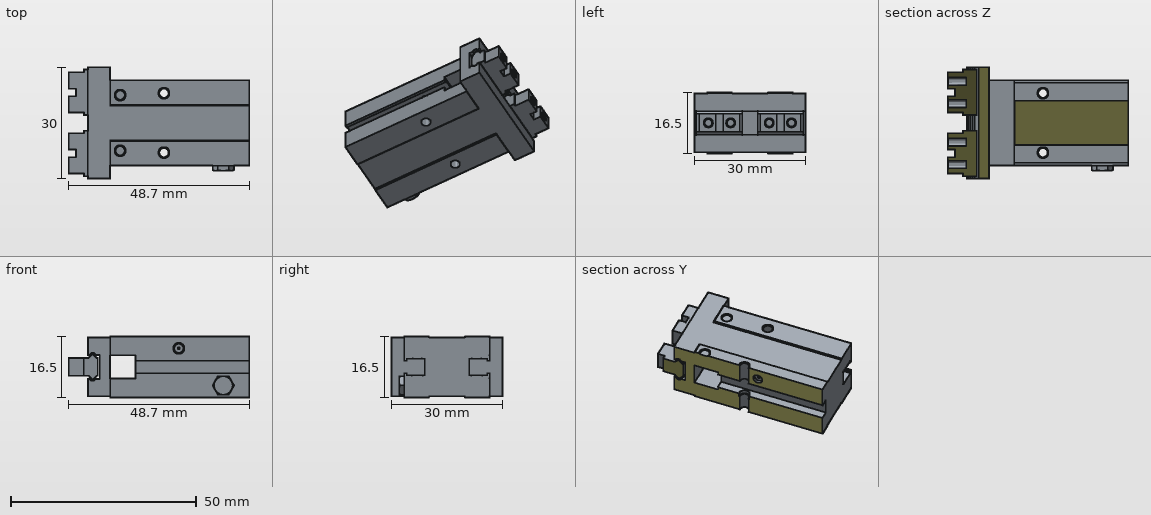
import cadquery as cq
import math


HOUSING_LENGTH = 37.5
HOUSING_WIDTH = 23.0
HOUSING_HEIGHT = 16.5

RELIEF_DEPTH = 0.3
RELIEF_MOUTH_WIDTH = 9.9
RELIEF_FLOOR_WIDTH = RELIEF_MOUTH_WIDTH - 2 * RELIEF_DEPTH

WINDOW_LENGTH = 6.8
WINDOW_HEIGHT = 6.2

SLOT_MOUTH_HEIGHT = 3.3
SLOT_LIP_THICKNESS = 0.7
SLOT_UNDERCUT = 0.6
SLOT_DEPTH = 5.5
SLOT_INNER_HEIGHT = SLOT_MOUTH_HEIGHT + 2 * SLOT_UNDERCUT

M3_BORE = 2.5
M3_COUNTERSINK = 3.0
MOUNT_HOLE_X = 14.5
MOUNT_HOLE_Y = 8.0

SLOT_COUNTERBORE = 3.0
SLOT_COUNTERBORE_DEPTH = 1.1

SPOT_X = 2.7
SPOT_Y = 7.5

PORT_X = 18.5
PORT_Z = 5.0
PORT_DEPTH = 4.0
ORIFICE_DIAMETER = 0.5
ORIFICE_DEPTH = 2.0

PLUG_X = 30.5
PLUG_Z = -5.0
PLUG_ACROSS_FLATS = 5.0
PLUG_ACROSS_CORNERS = PLUG_ACROSS_FLATS / math.cos(math.radians(30))
PLUG_HEIGHT = 1.4
PLUG_BEVEL_ANGLE = 30

PLATE_THICKNESS = 6.0
PLATE_WIDTH = 30.0
PLATE_HEIGHT = HOUSING_HEIGHT - 2 * RELIEF_DEPTH

CHANNEL_DEPTH = 3.2
CHANNEL_HEIGHT = 6.4
GROOVE_X = -4.7
GROOVE_DEPTH = 0.5
GROOVE_FLOOR_WIDTH = 0.6
GROOVE_MOUTH_WIDTH = GROOVE_FLOOR_WIDTH + 2 * GROOVE_DEPTH

JAW_TIP_X = -11.2
JAW_SHOULDER_X = -7.1
JAW_BACK_X = -3.3
JAW_HEIGHT = 4.9
RIDGE_HEIGHT = 1.1
SLIDE_INNER_Y = 2.1
SLIDE_OUTER_Y = 14.4
FINGER_CENTER_Y = 8.2
FINGER_WIDTH = 10.9
FINGER_NOTCH_WIDTH = 2.0
FINGER_NOTCH_DEPTH = 2.0
JAW_HOLE_PITCH = 6.0
JAW_HOLE_BORE = 2.0
JAW_HOLE_COUNTERSINK = 2.5
JAW_HOLE_DEPTH = 5.0


def box(x_range, y_range, z_range):
    """Axis-aligned box between the given limits."""
    (x0, x1), (y0, y1), (z0, z1) = x_range, y_range, z_range
    return cq.Workplane("XY").box(x1 - x0, y1 - y0, z1 - z0, centered=False).translate((x0, y0, z0))


def centered(size):
    """Limits of a stretch of the given size centred on zero."""
    return (-size / 2, size / 2)


def countersink(point, direction, mouth, bore):
    """45 degree cone from the mouth diameter at the surface down to the bore diameter."""
    depth = (mouth - bore) / 2
    cone = cq.Solid.makeCone(mouth / 2, bore / 2, depth, cq.Vector(*point), cq.Vector(*direction))
    return cq.Workplane(obj=cone)


def countersunk_hole(point, direction, depth, mouth, bore):
    """Blind hole cutter starting at a surface point and running along a direction."""
    cylinder = cq.Solid.makeCylinder(bore / 2, depth, cq.Vector(*point), cq.Vector(*direction))
    return cq.Workplane(obj=cylinder).union(countersink(point, direction, mouth, bore))


def relief_cutter():
    """Trapezoidal relief strip in the top face, running the length of the housing."""
    top = HOUSING_HEIGHT / 2
    floor = top - RELIEF_DEPTH
    half_mouth = RELIEF_MOUTH_WIDTH / 2
    half_floor = RELIEF_FLOOR_WIDTH / 2
    outline = [(-half_mouth, top), (-half_floor, floor), (half_floor, floor), (half_mouth, top)]
    return cq.Workplane("YZ").polyline(outline).close().extrude(HOUSING_LENGTH)


def slot_cutter():
    """Undercut slot in the -Y side, from the window to the rear end."""
    x_range = (WINDOW_LENGTH, HOUSING_LENGTH)
    side = -HOUSING_WIDTH / 2
    mouth = box(x_range, (side, side + SLOT_DEPTH), centered(SLOT_MOUTH_HEIGHT))
    inner = box(x_range, (side + SLOT_LIP_THICKNESS, side + SLOT_DEPTH), centered(SLOT_INNER_HEIGHT))
    return mouth.union(inner)


def slot_counterbore_cutter(side):
    """Shallow counterbore around a mounting hole, sunk into the lower wall of a slot."""
    floor_z = -SLOT_INNER_HEIGHT / 2
    floor_point = cq.Vector(MOUNT_HOLE_X, side * MOUNT_HOLE_Y, floor_z)
    down = cq.Vector(0, 0, -1)
    bore = cq.Solid.makeCylinder(SLOT_COUNTERBORE / 2, SLOT_COUNTERBORE_DEPTH, floor_point, down)
    return cq.Workplane(obj=bore)


def air_port_cutter():
    """Port in the -Y side with a small orifice in its floor."""
    side = -HOUSING_WIDTH / 2
    inward = (0, 1, 0)
    port = countersunk_hole((PORT_X, side, PORT_Z), inward, PORT_DEPTH, M3_COUNTERSINK, M3_BORE)
    orifice = cq.Solid.makeCylinder(
        ORIFICE_DIAMETER / 2,
        ORIFICE_DEPTH,
        cq.Vector(PORT_X, side + PORT_DEPTH, PORT_Z),
        cq.Vector(*inward),
    )
    return port.union(cq.Workplane(obj=orifice))


def plug_head():
    """Hexagon on the -Y side, its outer corners bevelled by a cone."""
    hexagon = cq.Workplane("XZ").polygon(6, PLUG_ACROSS_CORNERS).extrude(PLUG_HEIGHT)
    flat_radius = PLUG_ACROSS_FLATS / 2
    base_radius = flat_radius + PLUG_HEIGHT / math.tan(math.radians(PLUG_BEVEL_ANGLE))
    bevel = cq.Solid.makeCone(base_radius, flat_radius, PLUG_HEIGHT, cq.Vector(0, 0, 0), cq.Vector(0, -1, 0))
    head = hexagon.intersect(cq.Workplane(obj=bevel))
    return head.translate((PLUG_X, -HOUSING_WIDTH / 2, PLUG_Z))


def guide_plate():
    """Wide plate with a grooved channel running through it along Y."""
    plate = box((-PLATE_THICKNESS, 0), centered(PLATE_WIDTH), centered(PLATE_HEIGHT))
    channel = box(
        (-PLATE_THICKNESS, CHANNEL_DEPTH - PLATE_THICKNESS),
        centered(PLATE_WIDTH),
        centered(CHANNEL_HEIGHT),
    )
    half_channel = CHANNEL_HEIGHT / 2
    half_mouth = GROOVE_MOUTH_WIDTH / 2
    half_floor = GROOVE_FLOOR_WIDTH / 2
    groove_floor = half_channel + GROOVE_DEPTH
    groove_outline = [
        (GROOVE_X - half_mouth, half_channel),
        (GROOVE_X - half_floor, groove_floor),
        (GROOVE_X + half_floor, groove_floor),
        (GROOVE_X + half_mouth, half_channel),
    ]
    groove = cq.Workplane("XZ").polyline(groove_outline).close().extrude(PLATE_WIDTH / 2, both=True)
    return plate.cut(channel).cut(groove).cut(groove.mirror("XY"))


def make_housing():
    """Housing block, guide plate and plug head as one solid."""
    block = box((0, HOUSING_LENGTH), centered(HOUSING_WIDTH), centered(HOUSING_HEIGHT))

    relief = relief_cutter()
    block = block.cut(relief).cut(relief.mirror("XY"))

    block = block.cut(box((0, WINDOW_LENGTH), centered(HOUSING_WIDTH), centered(WINDOW_HEIGHT)))

    slot = slot_cutter()
    block = block.cut(slot).cut(slot.mirror("XZ"))

    top = HOUSING_HEIGHT / 2
    down = (0, 0, -1)
    for side in (-1, 1):
        mount_point = (MOUNT_HOLE_X, side * MOUNT_HOLE_Y, top)
        block = block.cut(countersunk_hole(mount_point, down, HOUSING_HEIGHT, M3_COUNTERSINK, M3_BORE))
        block = block.cut(slot_counterbore_cutter(side))
        spot_point = (SPOT_X, side * SPOT_Y, top)
        block = block.cut(countersink(spot_point, down, M3_COUNTERSINK, M3_BORE))

    block = block.cut(air_port_cutter())
    return block.union(guide_plate()).union(plug_head())


def jaw_slide():
    """Slide with a V ridge above and below that runs in the guide plate's grooves."""
    half_height = JAW_HEIGHT / 2
    ridge_top = half_height + RIDGE_HEIGHT
    ridge_front = GROOVE_X - RIDGE_HEIGHT
    ridge_back = GROOVE_X + RIDGE_HEIGHT
    upper_half = [
        (JAW_SHOULDER_X, 0),
        (JAW_SHOULDER_X, half_height),
        (ridge_front, half_height),
        (GROOVE_X, ridge_top),
        (ridge_back, half_height),
        (JAW_BACK_X, half_height),
        (JAW_BACK_X, 0),
    ]
    half_slide = (
        cq.Workplane("XZ", origin=(0, SLIDE_OUTER_Y, 0))
        .polyline(upper_half)
        .close()
        .extrude(SLIDE_OUTER_Y - SLIDE_INNER_Y)
    )
    return half_slide.union(half_slide.mirror("XY"))


def make_jaw(side):
    """Jaw on the +Y side (side = 1) or its mirror image on the -Y side (side = -1)."""
    z_range = centered(JAW_HEIGHT)
    finger_y = (FINGER_CENTER_Y - FINGER_WIDTH / 2, FINGER_CENTER_Y + FINGER_WIDTH / 2)
    notch_y = (FINGER_CENTER_Y - FINGER_NOTCH_WIDTH / 2, FINGER_CENTER_Y + FINGER_NOTCH_WIDTH / 2)
    finger = box((JAW_TIP_X, JAW_SHOULDER_X), finger_y, z_range)
    notch = box((JAW_TIP_X, JAW_TIP_X + FINGER_NOTCH_DEPTH), notch_y, z_range)
    jaw = jaw_slide().union(finger).cut(notch)
    for offset in centered(JAW_HOLE_PITCH):
        point = (JAW_TIP_X, FINGER_CENTER_Y + offset, 0)
        jaw = jaw.cut(
            countersunk_hole(point, (1, 0, 0), JAW_HOLE_DEPTH, JAW_HOLE_COUNTERSINK, JAW_HOLE_BORE)
        )
    return jaw if side > 0 else jaw.mirror("XZ")


housing = make_housing()
jaws = [make_jaw(side) for side in (-1, 1)]

result = cq.Compound.makeCompound([housing.val(), *[jaw.val() for jaw in jaws]])